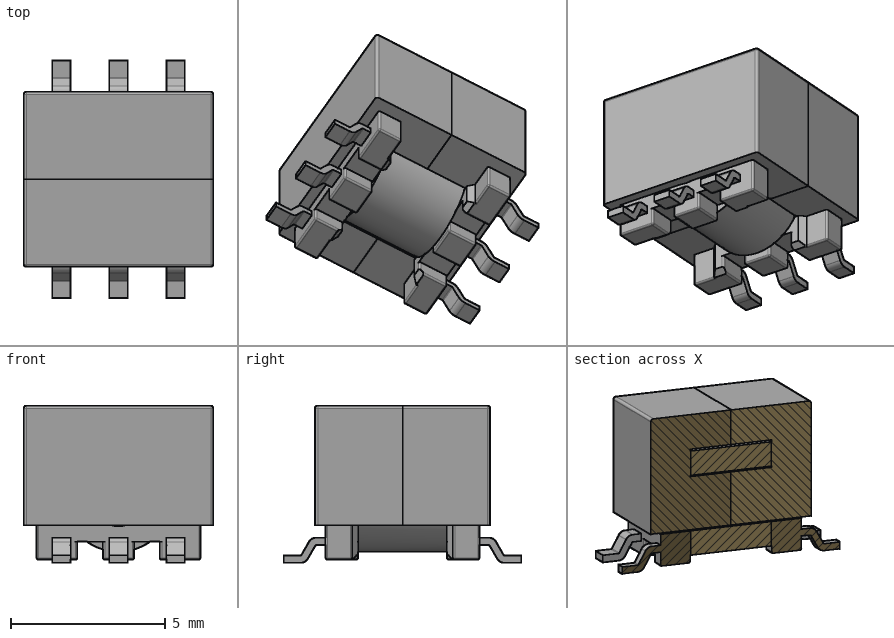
import cadquery as cq
import math

TIP_REACH = 3.85
LEAD_WIDTH = 0.6
LEAD_THICKNESS = 0.25
LEAD_PITCH = 1.85
LEAD_TOP = 0.825
FOOT_LENGTH = 0.55
BEND_ANGLE = math.radians(60)
BEND_RADIUS = 0.03

CORE_WIDTH = 6.15
CORE_HALF_DEPTH = 2.84
CORE_BOTTOM = 1.22
CORE_TOP = 5.1
CORE_EDGE_RADIUS = 0.09
POST_DIAMETER = 1.8
CAVITY_DIAMETER = 3.6
POST_HEIGHT = CORE_BOTTOM + POST_DIAMETER / 2

WINDING_DIAMETER = 3.52
BORE_DIAMETER = 1.85
WINDING_HALF_LENGTH = 1.44

RAIL_WIDTH = 5.31
RAIL_BOTTOM = 0.11
RAIL_OUTER = 2.495
RAIL_INNER = WINDING_HALF_LENGTH
RAIL_HEIGHT = CORE_BOTTOM - RAIL_BOTTOM
RAIL_EDGE_RADIUS = 0.06
MIDDLE_FOOT_WIDTH = 1.01
CORNER_FOOT_WIDTH = 1.325
NOTCH_TOP = 0.69
RECESS_DEPTH = 0.19
RECESS_WIDTH = 0.81
INNER_CHAMFER = 0.185


def cylinder_along_y(diameter, start, end):
    """Cylinder on the common axis of posts and winding, from Y = start to Y = end."""
    profile = cq.Workplane("XZ", origin=(0, start, POST_HEIGHT)).circle(diameter / 2)
    return profile.extrude(start - end)


def block(width, inner, outer, bottom, top):
    """Box centred on X = 0, given its limits along Y and Z."""
    base = cq.Workplane("XY").box(width, outer - inner, top - bottom, centered=(True, False, False))
    return base.translate((0, inner, bottom))


def make_core_half():
    """The +Y half of the core: a rounded block with a round winding space and its post."""
    core = block(CORE_WIDTH, 0, CORE_HALF_DEPTH, CORE_BOTTOM, CORE_TOP)
    core = core.edges("(>Y and |Z) or (>Z and (not <Y))").fillet(CORE_EDGE_RADIUS)
    core = core.cut(cylinder_along_y(CAVITY_DIAMETER, 0, WINDING_HALF_LENGTH))
    return core.union(cylinder_along_y(POST_DIAMETER, 0, CORE_HALF_DEPTH))


def make_winding():
    """The tube around the posts."""
    tube = cylinder_along_y(WINDING_DIAMETER, -WINDING_HALF_LENGTH, WINDING_HALF_LENGTH)
    return tube.cut(cylinder_along_y(BORE_DIAMETER, -WINDING_HALF_LENGTH, WINDING_HALF_LENGTH))


def make_middle_foot():
    """The plain foot in the middle of a rail."""
    foot = block(MIDDLE_FOOT_WIDTH, RAIL_INNER, RAIL_OUTER, RAIL_BOTTOM, CORE_BOTTOM)
    return foot.edges("|Z or <Z").fillet(RAIL_EDGE_RADIUS)


def make_corner_foot():
    """The foot at the -X end of a rail, with a recess at the -X end of its inner side."""
    left = -RAIL_WIDTH / 2
    right = left + CORNER_FOOT_WIDTH
    recess_end = left + RECESS_WIDTH
    outline = [
        (left, RAIL_OUTER),
        (right, RAIL_OUTER),
        (right, RAIL_INNER),
        (recess_end + RECESS_DEPTH, RAIL_INNER),
        (recess_end, RAIL_INNER + RECESS_DEPTH),
        (left, RAIL_INNER + RECESS_DEPTH),
    ]
    foot = cq.Workplane("XY", origin=(0, 0, RAIL_BOTTOM)).polyline(outline).close().extrude(RAIL_HEIGHT)
    foot = foot.edges("|Z and (<X or >X)").fillet(RAIL_EDGE_RADIUS)
    foot = foot.faces("<Z").edges().fillet(RAIL_EDGE_RADIUS)

    chamfer_profile = [
        (RAIL_INNER, RAIL_BOTTOM),
        (RAIL_INNER + INNER_CHAMFER, RAIL_BOTTOM),
        (RAIL_INNER, RAIL_BOTTOM + INNER_CHAMFER),
    ]
    wedge = cq.Workplane("YZ", origin=(left, 0, 0)).polyline(chamfer_profile).close()
    return foot.cut(wedge.extrude(CORNER_FOOT_WIDTH))


def bend_point(centre, radius, angle):
    """Point on a bend, with the angle measured from +Z toward +Y."""
    return (centre[0] + radius * math.sin(angle), centre[1] + radius * math.cos(angle))


def make_lead(x):
    """One lead at +Y, from the rail's outer face to its tip, with two opposite bends."""
    outer_radius = BEND_RADIUS + LEAD_THICKNESS
    lower_centre = (TIP_REACH - FOOT_LENGTH, outer_radius)
    upper_z = LEAD_TOP - outer_radius
    centre_rise = upper_z - lower_centre[1]
    centre_run = (BEND_RADIUS + outer_radius + centre_rise * math.cos(BEND_ANGLE)) / math.sin(BEND_ANGLE)
    upper_centre = (lower_centre[0] - centre_run, upper_z)
    turned = math.pi + BEND_ANGLE
    half_turned = math.pi + BEND_ANGLE / 2

    profile = (
        cq.Workplane("YZ", origin=(x - LEAD_WIDTH / 2, 0, 0))
        .moveTo(RAIL_OUTER, LEAD_TOP)
        .lineTo(upper_centre[0], LEAD_TOP)
        .threePointArc(
            bend_point(upper_centre, outer_radius, BEND_ANGLE / 2),
            bend_point(upper_centre, outer_radius, BEND_ANGLE),
        )
        .lineTo(*bend_point(lower_centre, BEND_RADIUS, turned))
        .threePointArc(
            bend_point(lower_centre, BEND_RADIUS, half_turned),
            bend_point(lower_centre, BEND_RADIUS, math.pi),
        )
        .lineTo(TIP_REACH, LEAD_THICKNESS)
        .lineTo(TIP_REACH, 0)
        .lineTo(lower_centre[0], 0)
        .threePointArc(
            bend_point(lower_centre, outer_radius, half_turned),
            bend_point(lower_centre, outer_radius, turned),
        )
        .lineTo(*bend_point(upper_centre, BEND_RADIUS, BEND_ANGLE))
        .threePointArc(
            bend_point(upper_centre, BEND_RADIUS, BEND_ANGLE / 2),
            bend_point(upper_centre, BEND_RADIUS, 0),
        )
        .lineTo(RAIL_OUTER, LEAD_TOP - LEAD_THICKNESS)
        .close()
    )
    return profile.extrude(LEAD_WIDTH)


def make_rail():
    """The +Y rail: feet joined by a web, a groove that continues the bore, and three leads."""
    corner_foot = make_corner_foot()
    web_width = RAIL_WIDTH - 2 * (RECESS_WIDTH + RECESS_DEPTH)
    rail = block(web_width, RAIL_INNER, RAIL_OUTER, NOTCH_TOP, CORE_BOTTOM)
    rail = rail.union(make_middle_foot()).union(corner_foot).union(corner_foot.mirror("YZ"))
    rail = rail.cut(cylinder_along_y(BORE_DIAMETER, RAIL_INNER, RAIL_OUTER))
    for position in (-1, 0, 1):
        rail = rail.union(make_lead(position * LEAD_PITCH))
    return rail


core_half = make_core_half()
winding = make_winding()
rail = make_rail()

bodies = [winding.val()]
for side in (0, 180):
    for body in (core_half, rail):
        bodies.append(body.rotate((0, 0, 0), (0, 0, 1), side).val())

result = cq.Compound.makeCompound(bodies)